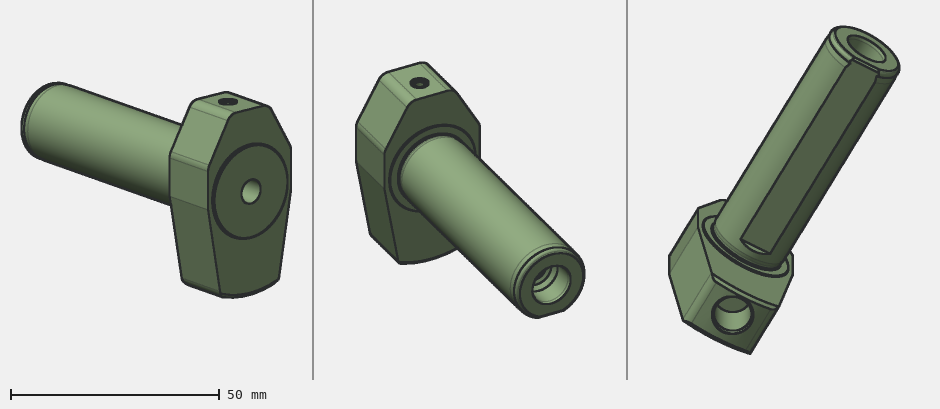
import cadquery as cq
import math

total_length = 75.0
plate_start = 60.15
plate_end = 74.5
plate_top = 20.55
plate_bottom_radius = 26.5
plate_half_width = 26.0 / 2
plate_corner_radius = 3.0
bottom_corner_radius = 2.6
bottom_chamfer = 0.9
shoulder_height = 8.3
waist_height = -2.1
shoulder_angle = math.radians(60)
taper_angle = math.radians(10)

shaft_radius = 19.05 / 2
neck_radius = 18.7 / 2
end_face_radius = 8.6
end_chamfer_radius = 18.1 / 2
end_chamfer_length = 0.3
lead_round_end = 1.65
lead_taper_end = 3.2
neck_taper_start = 57.9
neck_start = 58.8
neck_flare_start = 59.5
flat_depth = 8.6
flat_end = 55.3
flat_end_chamfer = 0.6

collar_radius = 23.5 / 2
front_collar_start = 59.85
front_collar_chamfer = 0.15
rear_collar_chamfer = 0.3

through_radius = 6.0 / 2
bore_radius = 10.0 / 2
bore_mouth_radius = 10.4 / 2
bore_mouth_depth = 0.9
bore_depth = 6.15
seat_radius = 8.2 / 2
seat_depth = 1.5
drill_tip_depth = 0.6

port_x = 66.45
port_radius = 4.35 / 2
port_chamfer = 0.2
port_depth = 1.2
nipple_recess = 0.45
nipple_top_radius = 1.5
nipple_hole_radius = 2.3 / 2
nipple_hole_depth = 3.0
nipple_tip_depth = 0.7

socket_radius = 9.0 / 2
socket_mouth_radius = 10.0 / 2
socket_depth = 11.25


def revolve_about_x(points):
    """Solid of revolution about X from a closed outline of (x, radius) points."""
    return cq.Workplane("XY").polyline(points).close().revolve(360, (0, 0, 0), (1, 0, 0))


def revolve_about_port(points):
    """Solid of revolution about the vertical port axis from (radius, z) points."""
    profile = cq.Workplane("XZ").polyline(points).close()
    return profile.revolve(360, (0, 0, 0), (0, 1, 0)).translate((port_x, 0, 0))


def make_plate():
    """Tapered lobe with rounded corners and a chamfered cylindrical bottom."""
    top_half_width = plate_half_width - (plate_top - shoulder_height) / math.tan(shoulder_angle)
    low_z = -plate_bottom_radius
    low_half_width = plate_half_width - (waist_height - low_z) * math.tan(taper_angle)
    outline = [
        (top_half_width, plate_top),
        (plate_half_width, shoulder_height),
        (plate_half_width, waist_height),
        (low_half_width, low_z),
    ]
    outline += [(-y, z) for y, z in reversed(outline)]
    thickness = plate_end - plate_start
    blank = cq.Workplane("YZ", origin=(plate_start, 0, 0)).polyline(outline).close().extrude(thickness)
    turned = cq.Workplane("YZ", origin=(plate_start, 0, 0)).circle(plate_bottom_radius).extrude(thickness)
    plate = blank.intersect(turned)

    upper_edges = plate.edges("|X").filter(lambda edge: edge.Center().z > shoulder_height / 2)
    plate = upper_edges.fillet(plate_corner_radius)
    plate = plate.edges("|X").edges("<Z").fillet(bottom_corner_radius)

    chamfered = turned.faces("<X or >X").chamfer(bottom_chamfer)
    return plate.intersect(chamfered)


def make_shaft():
    """Shaft with a rounded lead-in, a necked root and a flat along its underside."""
    shaft = (
        cq.Workplane("XY")
        .moveTo(0, 0)
        .lineTo(0, end_face_radius)
        .lineTo(end_chamfer_length, end_chamfer_radius)
        .tangentArcPoint((lead_round_end, neck_radius), relative=False)
        .lineTo(lead_taper_end, shaft_radius)
        .lineTo(neck_taper_start, shaft_radius)
        .lineTo(neck_start, neck_radius)
        .lineTo(neck_flare_start, neck_radius)
        .lineTo(front_collar_start, shaft_radius)
        .lineTo(plate_end, shaft_radius)
        .lineTo(plate_end, 0)
        .close()
        .revolve(360, (0, 0, 0), (1, 0, 0))
    )
    runout = shaft_radius - flat_depth
    flat_cut = (
        cq.Workplane("XZ")
        .polyline([
            (0, flat_end_chamfer - flat_depth),
            (flat_end_chamfer, -flat_depth),
            (flat_end, -flat_depth),
            (flat_end + runout, -shaft_radius),
            (0, -shaft_radius),
        ])
        .close()
        .extrude(shaft_radius, both=True)
    )
    return shaft.cut(flat_cut)


def make_collars():
    """Thin round collar standing proud of both plate faces."""
    return revolve_about_x([
        (front_collar_start, 0),
        (front_collar_start, collar_radius - front_collar_chamfer),
        (front_collar_start + front_collar_chamfer, collar_radius),
        (total_length - rear_collar_chamfer, collar_radius),
        (total_length, collar_radius - rear_collar_chamfer),
        (total_length, 0),
    ])


def make_bore():
    """Stepped bore from the shaft end with a through hole."""
    seat_end = bore_depth + seat_depth
    return revolve_about_x([
        (0, 0),
        (0, bore_mouth_radius),
        (bore_mouth_depth, bore_radius),
        (bore_depth, bore_radius),
        (seat_end, seat_radius),
        (seat_end + drill_tip_depth, through_radius),
        (total_length, through_radius),
        (total_length, 0),
    ])


def make_port_recess():
    """Chamfered port in the top face that leaves a sunken conical nipple."""
    return revolve_about_port([
        (0, plate_top),
        (port_radius, plate_top),
        (port_radius - port_chamfer, plate_top - port_chamfer),
        (port_radius - port_chamfer, plate_top - port_depth),
        (nipple_top_radius, plate_top - nipple_recess),
        (0, plate_top - nipple_recess),
    ])


def make_nipple_hole():
    """Blind hole with a conical tip down the middle of the nipple."""
    return revolve_about_port([
        (0, plate_top),
        (nipple_hole_radius, plate_top),
        (nipple_hole_radius, plate_top - nipple_hole_depth),
        (0, plate_top - nipple_hole_depth - nipple_tip_depth),
    ])


def make_socket():
    """Blind socket with a chamfered mouth in the plate's bottom."""
    bottom = -plate_bottom_radius
    chamfer = socket_mouth_radius - socket_radius
    rim = -math.sqrt(plate_bottom_radius**2 - socket_mouth_radius**2)
    return revolve_about_port([
        (0, bottom),
        (socket_mouth_radius, bottom),
        (socket_mouth_radius, rim),
        (socket_radius, rim + chamfer),
        (socket_radius, bottom + socket_depth),
        (0, bottom + socket_depth),
    ])


result = make_plate().union(make_collars()).union(make_shaft())
for cutter in (make_bore(), make_port_recess(), make_nipple_hole(), make_socket()):
    result = result.cut(cutter)